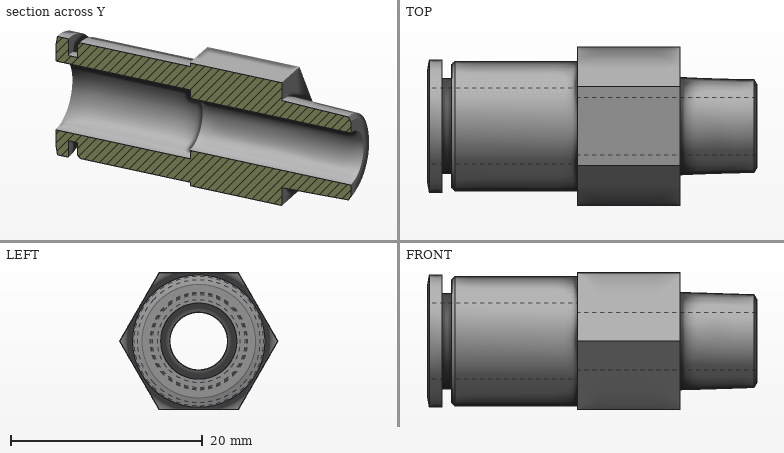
import cadquery as cq
import math

total_length = 34.3
collar_thickness = 1.5
neck_length = 1.0
hex_start = 15.6
thread_length = 8.0
body_start = collar_thickness + neck_length
hex_end = total_length - thread_length

collar_diameter = 13.8
collar_face_diameter = 11.84
collar_bevel_angle = 10.0
neck_diameter = 9.94

body_diameter = 13.5
body_chamfer = 0.35

hex_across_flats = 14.29
hex_across_corners = hex_across_flats / math.cos(math.radians(30))

thread_base_diameter = 10.16
thread_taper = 1 / 16
thread_chamfer_length = 0.3
thread_chamfer_angle = 30.0

tube_socket_diameter = 7.94
tube_socket_depth = hex_start
bore_diameter = 6.0


def cylinder(diameter, start, end):
    """Cylinder on the X axis between two stations."""
    return cq.Workplane("YZ", origin=(start, 0, 0)).circle(diameter / 2).extrude(end - start)


def revolve_about_x(outline):
    """Solid of revolution from (x, radius) points that start and end on the axis."""
    return cq.Workplane("XZ").polyline(outline).close().revolve(360, (0, 0, 0), (1, 0, 0))


def make_collar():
    face_radius = collar_face_diameter / 2
    rim_radius = collar_diameter / 2
    bevel_depth = (rim_radius - face_radius) * math.tan(math.radians(collar_bevel_angle))
    return revolve_about_x([
        (0, 0),
        (0, face_radius),
        (bevel_depth, rim_radius),
        (collar_thickness, rim_radius),
        (collar_thickness, 0),
    ])


def make_body():
    return cylinder(body_diameter, body_start, hex_start).faces("<X").chamfer(body_chamfer)


def make_hexagon():
    profile = cq.Workplane("YZ", origin=(hex_start, 0, 0)).polygon(6, hex_across_corners)
    return profile.extrude(hex_end - hex_start)


def make_thread():
    cone_end = total_length - thread_chamfer_length
    base_radius = thread_base_diameter / 2
    chamfer_depth = thread_chamfer_length / math.tan(math.radians(thread_chamfer_angle))
    cone_end_radius = base_radius - (cone_end - hex_end) * thread_taper / 2
    return revolve_about_x([
        (hex_end, 0),
        (hex_end, base_radius),
        (cone_end, cone_end_radius),
        (total_length, cone_end_radius - chamfer_depth),
        (total_length, 0),
    ])


def make_bore():
    socket = cylinder(tube_socket_diameter, 0, tube_socket_depth)
    return socket.union(cylinder(bore_diameter, 0, total_length))


neck = cylinder(neck_diameter, collar_thickness, body_start)
outside = make_collar().union(neck).union(make_body()).union(make_hexagon()).union(make_thread())
result = outside.cut(make_bore())